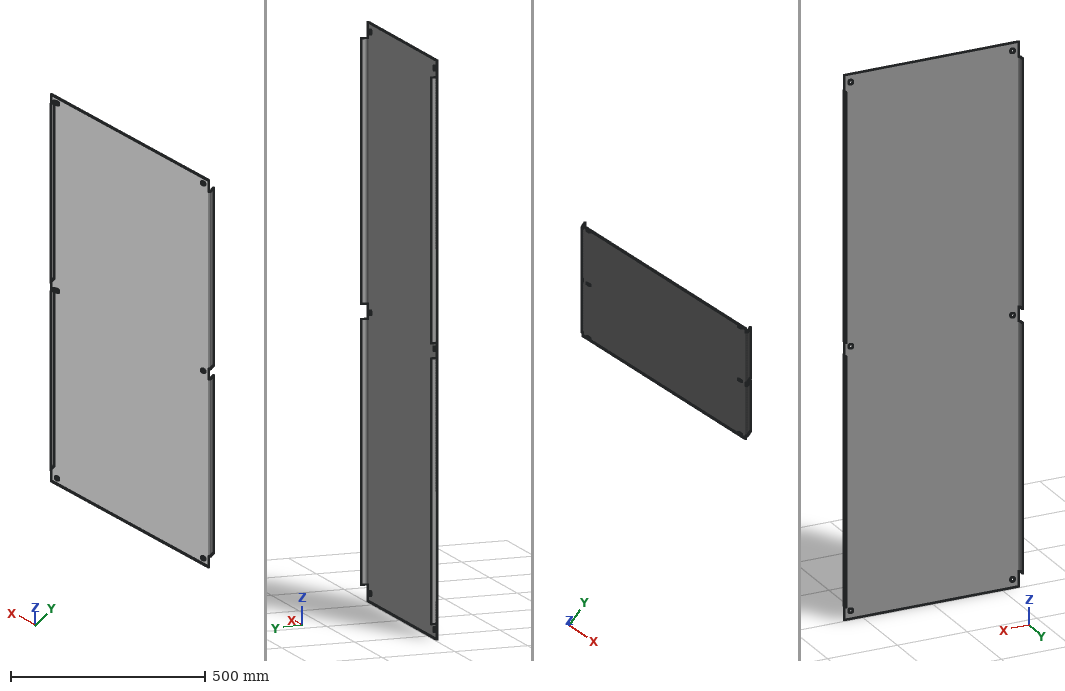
import cadquery as cq

height = 1524.0
width = 507.0
depth = 18.0
sheet = 2.0

bend_radius = sheet
outer_radius = bend_radius + sheet
flange_end_margin = 43.0
flange_center_gap = 40.0
flange_length = height / 2 - flange_end_margin - flange_center_gap / 2
flange_center_z = (flange_center_gap + flange_length) / 2

face_width = width - 2 * outer_radius

hole_diameter = 12.0
hole_x = 232.0
hole_z = 739.0


def make_face():
    return cq.Workplane("XY").box(face_width, sheet, height).translate((0, sheet / 2, 0))


def make_flange(side, center_z):
    """L-shaped strip: a quarter-round bend followed by a straight leg."""
    edge = side * face_width / 2
    outside = side * width / 2
    inside = outside - side * sheet
    profile = (
        cq.Workplane("XY", origin=(0, 0, center_z))
        .moveTo(edge, 0)
        .radiusArc((outside, outer_radius), -side * outer_radius)
        .lineTo(outside, depth)
        .lineTo(inside, depth)
        .lineTo(inside, outer_radius)
        .radiusArc((edge, sheet), side * bend_radius)
        .close()
    )
    return profile.extrude(flange_length / 2, both=True)


def make_hole_cutters():
    centers = [(x, z) for x in (-hole_x, hole_x) for z in (-hole_z, 0, hole_z)]
    return (
        cq.Workplane("XZ")
        .pushPoints(centers)
        .circle(hole_diameter / 2)
        .extrude(sheet, both=True)
    )


result = make_face()
for side in (-1, 1):
    for center_z in (-flange_center_z, flange_center_z):
        result = result.union(make_flange(side, center_z))
result = result.cut(make_hole_cutters())